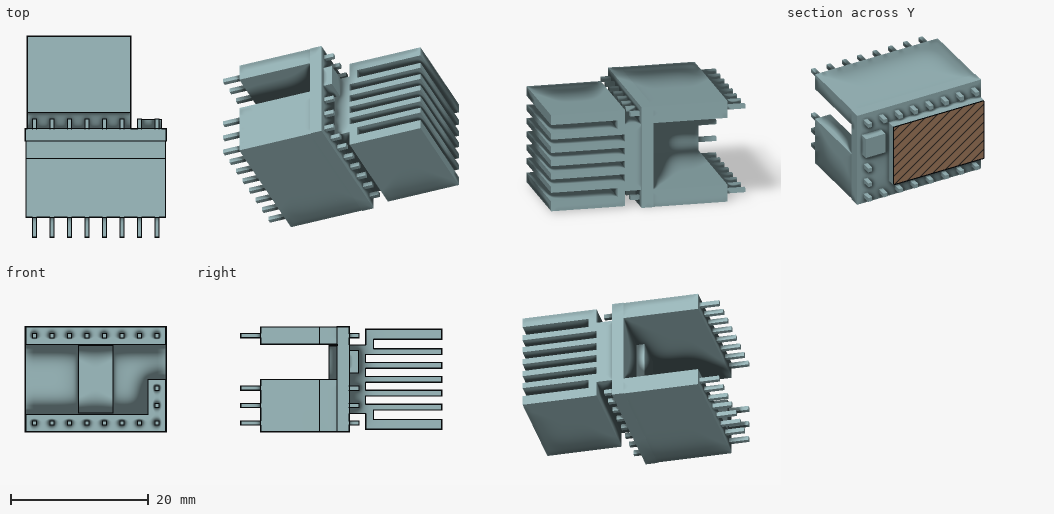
import cadquery as cq


pitch = 2.55
pin_size = 0.65
pin_columns = 8
row_offset = 2.5 * pitch
column_pins = 3

board_width = 20.55
board_height = 15.3
board_thickness = 1.75

header_depth = pitch
socket_depth = 8.6
header_pin_rise = 1.43
socket_pin_length = 2.9
strip_length = pin_columns * pitch

chip_width = 5.05
chip_height = 9.82
chip_depth = 1.23

sink_left = -9.97
sink_width = 15.1
sink_depth = 13.45
sink_height = 14.55
base_height = 10.0
base_depth = 2.37
outer_fin_thickness = 1.45
inner_fin_thickness = 0.88
inner_fin_pitch = 2.02
inner_fins_per_side = 2
outer_web = 1.17

trimmer_size = 3.22
trimmer_depth = 1.35
trimmer_right = 9.55
trimmer_z = pitch

column_xs = [(i - (pin_columns - 1) / 2) * pitch for i in range(pin_columns)]
upper_pins = [(x, row_offset) for x in column_xs]
lower_row = [(x, -row_offset) for x in column_xs]
side_column = [(column_xs[-1], -row_offset + i * pitch) for i in range(1, column_pins)]
lower_pins = lower_row + side_column


def block(x_min, x_max, y_min, y_max, z_min, z_max):
    """Box between the given limits."""
    return cq.Workplane("XY").box(
        x_max - x_min, y_max - y_min, z_max - z_min, centered=False
    ).translate((x_min, y_min, z_min))


def add_pins(body, pin_centres, y_min, y_max):
    """Fuse a square pin to the body at each centre."""
    half = pin_size / 2
    for x, z in pin_centres:
        body = body.union(block(x - half, x + half, y_min, y_max, z - half, z + half))
    return body


def straight_strip(y_min, y_max):
    """Plastic bar around the upper pin row."""
    half_length = strip_length / 2
    return block(-half_length, half_length, y_min, y_max, row_offset - pitch / 2, row_offset + pitch / 2)


def corner_strip(y_min, y_max):
    """L-shaped plastic bar around the lower pin row and the short side column."""
    half_length = strip_length / 2
    bottom = -row_offset - pitch / 2
    row = block(-half_length, half_length, y_min, y_max, bottom, bottom + pitch)
    column = block(half_length - pitch, half_length, y_min, y_max, bottom, bottom + column_pins * pitch)
    return row.union(column)


def make_board():
    """Flat board with a square hole for every header pin."""
    half_width = board_width / 2
    half_height = board_height / 2
    board = block(-half_width, half_width, 0, board_thickness, -half_height, half_height)
    half = pin_size / 2
    for x, z in upper_pins + lower_pins:
        board = board.cut(block(x - half, x + half, 0, board_thickness, z - half, z + half))
    return board


def make_header(strip, pin_centres):
    """Pin header against the board, its pins passing back through the board."""
    return add_pins(strip(-header_depth, 0), pin_centres, -header_depth, board_thickness + header_pin_rise)


def make_socket(strip, pin_centres):
    """Tall socket in front of a header, with pins at its front end."""
    back = -header_depth
    front = back - socket_depth
    return add_pins(strip(front, back), pin_centres, front - socket_pin_length, front)


def make_chip():
    """Driver chip lying on the middle of the board's front."""
    return block(-chip_width / 2, chip_width / 2, -chip_depth, 0, -chip_height / 2, chip_height / 2)


def make_heat_sink():
    """Base block with inner fins, and two thicker outer fins set on side webs."""
    sink_right = sink_left + sink_width
    base_back = board_thickness + base_depth
    sink_back = board_thickness + sink_depth

    sink = block(sink_left, sink_right, board_thickness, base_back, -base_height / 2, base_height / 2)
    for i in range(-inner_fins_per_side, inner_fins_per_side + 1):
        bottom = i * inner_fin_pitch - inner_fin_thickness / 2
        top = bottom + inner_fin_thickness
        sink = sink.union(block(sink_left, sink_right, base_back, sink_back, bottom, top))

    outer_top = sink_height / 2
    outer_fin = block(sink_left, sink_right, base_back, sink_back, outer_top - outer_fin_thickness, outer_top)
    web_bottom = inner_fins_per_side * inner_fin_pitch
    web = block(sink_left, sink_right, base_back, base_back + outer_web, web_bottom, outer_top)
    upper_side = outer_fin.union(web)
    return sink.union(upper_side).union(upper_side.mirror("XY"))


def make_trimmer():
    """Square trimmer on the board's back, above the short pin column."""
    return block(
        trimmer_right - trimmer_size,
        trimmer_right,
        board_thickness,
        board_thickness + trimmer_depth,
        trimmer_z - trimmer_size / 2,
        trimmer_z + trimmer_size / 2,
    )


board = make_board()
upper_header = make_header(straight_strip, upper_pins)
lower_header = make_header(corner_strip, lower_pins)
upper_socket = make_socket(straight_strip, upper_pins)
lower_socket = make_socket(corner_strip, lower_pins)
chip = make_chip()
heat_sink = make_heat_sink()
trimmer = make_trimmer()

result = cq.Compound.makeCompound([
    board.val(),
    upper_header.val(),
    lower_header.val(),
    upper_socket.val(),
    lower_socket.val(),
    chip.val(),
    heat_sink.val(),
    trimmer.val(),
])